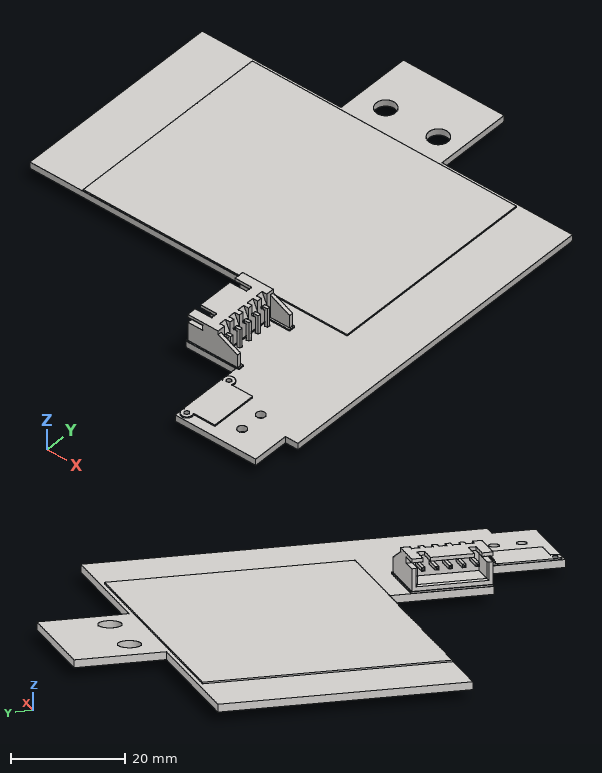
import cadquery as cq

board_thickness = 1.5
board_width = 85.0
board_top = 82.2
main_area_bottom = 35.6
tab_left = 31.9
tab_right = 55.0
tab_top = 99.0
connector_ledge_x = 52.2
connector_ledge_y = 16.4
leg_left = 63.7
leg_right = 82.2
corner_notch_top = 8.0

tab_hole_diameter = 4.3
tab_hole_xs = (37.9, 50.0)
tab_hole_y = 87.1
wire_hole_diameter = 1.9
wire_hole_x = 75.0
wire_hole_spacing = 5.0

panel_height = 0.3
panel_inset = 0.1
main_panel_left = 12.2
main_panel_right = 72.8
main_panel_top = 81.4
socket_panel_right = 71.0
socket_panel_length = 10.2
socket_center_y = 7.2
connector_panel_right = 64.3
connector_panel_top = 31.6
connector_panel_gap = 12.5
lug_x = 65.0
lug_spacing = 11.4
lug_diameter = 2.4
lug_hole_diameter = 1.0

housing_front = 52.5
housing_depth = 11.5
housing_width = 14.85
housing_height = 5.9
housing_center_y = 24.0
side_wall = 1.1
wing_width = 0.8
mouth_chamfer = 0.3
roof_thickness = 0.7
floor_thickness = 1.1
roof_depth = 7.0
slope_start_drop = 0.8
rear_height = 2.9
cavity_depth = 5.1
side_slot_depth = 3.5
side_slot_height = 1.1
roof_slot_depth = 3.8
roof_slot_width = 1.4
roof_slot_spacing = 9.4
rear_notch_depth = 1.1
rear_notch_width = 1.5

pin_count = 5
pin_pitch = 2.5
pin_size = 0.64
pin_hole_diameter = 0.95
pin_tip_inset = 1.0
pin_axis_height = 3.5
pin_leg_x = 60.2
pin_drop = 1.8
pin_tip_chamfer = 0.2

panel_top = board_thickness + panel_height
housing_base = panel_top
housing_top = housing_base + housing_height
housing_back = housing_front + housing_depth
roof_back = housing_front + roof_depth
roof_underside = housing_top - roof_thickness
cavity_width = housing_width - 2 * side_wall
pin_axis_z = housing_base + pin_axis_height
pin_ys = [housing_center_y + (i - (pin_count - 1) / 2) * pin_pitch for i in range(pin_count)]
lug_points = [(lug_x, socket_center_y + side * lug_spacing / 2) for side in (-1, 1)]


def box(x_range, y_range, z_range):
    """Axis-aligned block between the given limits."""
    lower = cq.Vector(x_range[0], y_range[0], z_range[0])
    upper = cq.Vector(x_range[1], y_range[1], z_range[1])
    size = upper - lower
    return cq.Workplane(cq.Solid.makeBox(size.x, size.y, size.z, lower))


def centered(center, width):
    """Limits of a span of the given width about a centre."""
    return (center - width / 2, center + width / 2)


def drill(body, points, diameter):
    """Cut vertical round holes through the whole board and its panels."""
    return body.cut(cq.Workplane().pushPoints(points).circle(diameter / 2).extrude(panel_top))


def make_board():
    outline = [
        (0, main_area_bottom),
        (connector_ledge_x, main_area_bottom),
        (connector_ledge_x, connector_ledge_y),
        (leg_left, connector_ledge_y),
        (leg_left, 0),
        (leg_right, 0),
        (leg_right, corner_notch_top),
        (board_width, corner_notch_top),
        (board_width, board_top),
        (tab_right, board_top),
        (tab_right, tab_top),
        (tab_left, tab_top),
        (tab_left, board_top),
        (0, board_top),
    ]
    board = cq.Workplane().polyline(outline).close().extrude(board_thickness)

    panel_z = (board_thickness, panel_top)
    main_panel_x = (main_panel_left, main_panel_right)
    main_panel_y = (main_area_bottom + panel_inset, main_panel_top)
    board = board.union(box(main_panel_x, main_panel_y, panel_z))
    socket_panel_x = (leg_left + panel_inset, socket_panel_right)
    socket_panel_y = centered(socket_center_y, socket_panel_length)
    board = board.union(box(socket_panel_x, socket_panel_y, panel_z))
    connector_panel_x = (connector_ledge_x + panel_inset, connector_panel_right)
    connector_panel_y = (connector_ledge_y + panel_inset, connector_panel_top)
    connector_panel = box(connector_panel_x, connector_panel_y, panel_z)
    gap_x = (roof_back, connector_panel_right)
    gap_y = centered(housing_center_y, connector_panel_gap)
    board = board.union(connector_panel.cut(box(gap_x, gap_y, panel_z)))

    lugs = (
        cq.Workplane().workplane(offset=board_thickness)
        .pushPoints(lug_points).circle(lug_diameter / 2).extrude(panel_height)
    )
    board = board.union(lugs)

    wire_points = [(wire_hole_x, y) for y in centered(socket_center_y, wire_hole_spacing)]
    board = drill(board, [(x, tab_hole_y) for x in tab_hole_xs], tab_hole_diameter)
    board = drill(board, wire_points, wire_hole_diameter)
    board = drill(board, lug_points, lug_hole_diameter)
    return drill(board, [(pin_leg_x, y) for y in pin_ys], pin_hole_diameter)


def make_housing():
    profile = [
        (housing_front, housing_base),
        (housing_back, housing_base),
        (housing_back, housing_base + rear_height),
        (roof_back, housing_top - slope_start_drop),
        (roof_back, housing_top),
        (housing_front, housing_top),
    ]
    y_range = centered(housing_center_y, housing_width)
    housing = cq.Workplane("XZ", origin=(0, y_range[1], 0)).polyline(profile).close().extrude(housing_width)

    cavity_y = centered(housing_center_y, cavity_width)
    cavity_x = (housing_front, housing_front + cavity_depth)
    cavity_floor = housing_base + floor_thickness
    housing = housing.cut(box(cavity_x, cavity_y, (cavity_floor, roof_underside)))
    mouth_edges = cq.selectors.BoxSelector(
        (housing_front - mouth_chamfer, cavity_y[0] - mouth_chamfer, cavity_floor - mouth_chamfer),
        (housing_front + mouth_chamfer, cavity_y[1] + mouth_chamfer, roof_underside - mouth_chamfer),
    )
    housing = housing.edges(mouth_edges).chamfer(mouth_chamfer)

    wing_gap = centered(housing_center_y, housing_width - 2 * wing_width)
    housing = housing.cut(box((roof_back, housing_back), wing_gap, (housing_base, housing_top)))

    side_slot_x = (housing_front, housing_front + side_slot_depth)
    housing = housing.cut(box(side_slot_x, y_range, (roof_underside - side_slot_height, roof_underside)))

    roof_slot_x = (housing_front, housing_front + roof_slot_depth)
    for y in centered(housing_center_y, roof_slot_spacing):
        housing = housing.cut(box(roof_slot_x, centered(y, roof_slot_width), (roof_underside, housing_top)))

    notch_profile = [
        (roof_back - rear_notch_depth, housing_top),
        (roof_back, housing_top),
        (roof_back, pin_axis_z),
    ]
    for y in pin_ys:
        notch_plane = cq.Workplane("XZ", origin=(0, y + rear_notch_width / 2, 0))
        housing = housing.cut(notch_plane.polyline(notch_profile).close().extrude(rear_notch_width))
    return housing


def make_pin(y):
    y_range = centered(y, pin_size)
    leg_x = centered(pin_leg_x, pin_size)
    arm_z = centered(pin_axis_z, pin_size)
    arm = box((housing_front + pin_tip_inset, leg_x[1]), y_range, arm_z).faces("<X").chamfer(pin_tip_chamfer)
    leg = box(leg_x, y_range, (-pin_drop, arm_z[1])).faces("<Z").chamfer(pin_tip_chamfer)
    return arm.union(leg)


def make_connector():
    connector = make_housing()
    for y in pin_ys:
        connector = connector.union(make_pin(y))
    return connector


board = make_board()
connector = make_connector()
result = cq.Compound.makeCompound([board.val(), connector.val()])